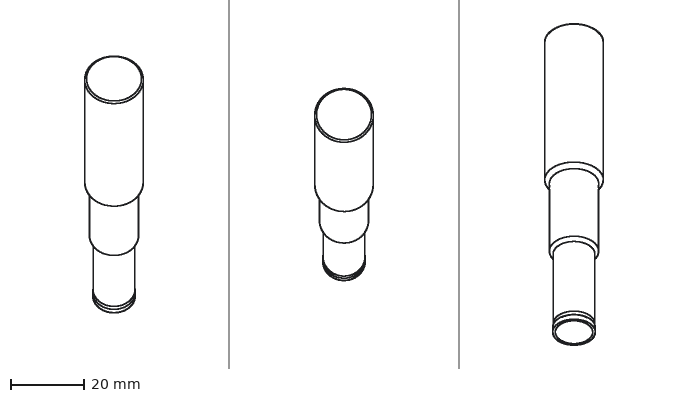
import cadquery as cq

total_length = 102.0

barrel_diameter = 16.0
sleeve_diameter = 13.5
plunger_diameter = 11.4
head_diameter = 11.6

barrel_bottom_z = 52.7
sleeve_bottom_z = 28.5
barrel_top_chamfer = 0.5

neck_diameter = 9.8
dome_diameter = 10.2
dome_height = 1.6
head_top_z = 3.3
groove_top_z = 4.5


def make_stage(diameter, next_diameter, bottom_z, top_z):
    """Solid cylinder whose lower edge is bevelled at 45 degrees down to the next stage's diameter."""
    bevel = (diameter - next_diameter) / 2
    radius = diameter / 2
    return (
        cq.Workplane("XZ")
        .moveTo(0, bottom_z)
        .lineTo(next_diameter / 2, bottom_z)
        .lineTo(radius, bottom_z + bevel)
        .lineTo(radius, top_z)
        .lineTo(0, top_z)
        .close()
        .revolve(360, (0, 0, 0), (0, 1, 0))
    )


def make_barrel():
    barrel = make_stage(barrel_diameter, sleeve_diameter, barrel_bottom_z, total_length)
    return barrel.faces(">Z").chamfer(barrel_top_chamfer)


def make_sleeve():
    return make_stage(sleeve_diameter, plunger_diameter, sleeve_bottom_z, barrel_bottom_z)


def make_plunger():
    """Round shaft with a V-shaped retaining groove and a shallow spherical tip."""
    radius = plunger_diameter / 2
    head_radius = head_diameter / 2
    neck_radius = neck_diameter / 2
    dome_radius = dome_diameter / 2
    sphere_radius = (dome_radius**2 + dome_height**2) / (2 * dome_height)
    arc_mid_x = dome_radius / 2
    arc_mid_z = sphere_radius - (sphere_radius**2 - arc_mid_x**2) ** 0.5
    return (
        cq.Workplane("XZ")
        .moveTo(0, 0)
        .threePointArc((arc_mid_x, arc_mid_z), (dome_radius, dome_height))
        .lineTo(head_radius, dome_height)
        .lineTo(head_radius, head_top_z)
        .lineTo(neck_radius, (head_top_z + groove_top_z) / 2)
        .lineTo(radius, groove_top_z)
        .lineTo(radius, sleeve_bottom_z)
        .lineTo(0, sleeve_bottom_z)
        .close()
        .revolve(360, (0, 0, 0), (0, 1, 0))
    )


barrel = make_barrel()
sleeve = make_sleeve()
plunger = make_plunger()

result = cq.Compound.makeCompound([barrel.val(), sleeve.val(), plunger.val()])